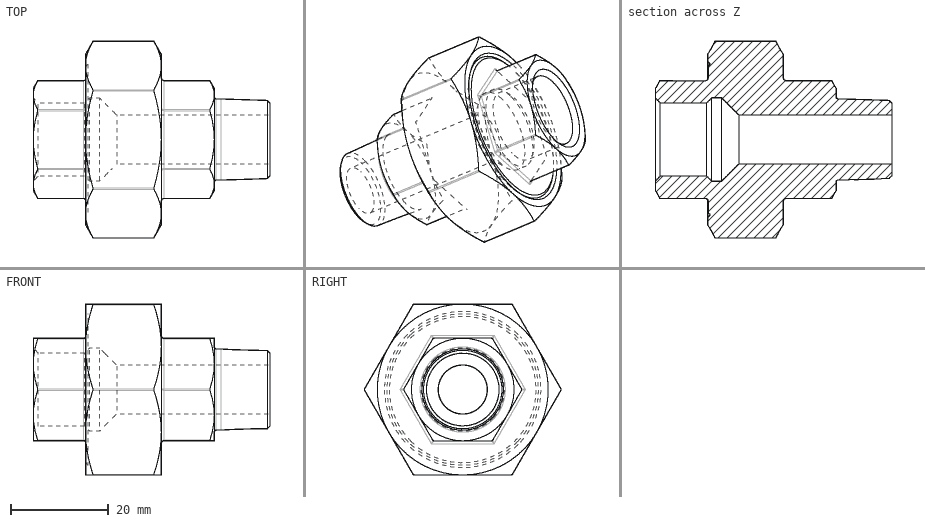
import cadquery as cq
import math


nut_start = 10.7
nut_length = 15.5
nut_end = nut_start + nut_length
nut_middle = (nut_start + nut_end) / 2
male_hex_end = 37.05
total_length = 48.5

nut_flats = 35.0
body_flats = 21.0
hex_edge_radius = 0.3
hex_crown_angle = 30.0
female_root_fillet = 0.5
male_root_fillet = 0.6

groove_outer_diameter = 32.0
groove_bottom_diameter = 31.0
groove_inner_diameter = 30.0
groove_depth = 0.5
groove_bottom = nut_start + groove_depth
flange_recess = 0.1
flange_face = nut_start + flange_recess

collar_diameter = 16.66
collar_end = 38.4
spigot_root_fillet = 0.4
taper_ratio = 1 / 16
spigot_chamfer_length = 0.6
spigot_chamfer_height = 0.6

through_diameter = 10.0
female_diameter = 14.95
female_mouth_diameter = 17.06
female_mouth_depth = 1.0
female_depth = 10.5
relief_diameter = 17.06
relief_length = 2.0


def revolve_about_x(points):
    """Solid of revolution from (x, radius) points."""
    return cq.Workplane("XY").polyline(points).close().revolve(360, (0, 0, 0), (1, 0, 0))


def hex_prism(flats, start, end):
    """Sharp hexagonal bar along X with corners on Y."""
    corner_diameter = flats / math.cos(math.pi / 6)
    return cq.Workplane("YZ", origin=(start, 0, 0)).polygon(6, corner_diameter).extrude(end - start)


def round_long_edges(hex_body, end_selector):
    """Slightly round the six long corners of the hex at one end, "<X" or ">X", of a body."""
    return hex_body.edges("|X").edges(end_selector).fillet(hex_edge_radius)


def crown(flats, face_x, inward):
    """Turned envelope that bevels hex corners at a face; inward is the X direction into the part."""
    face_radius = flats / 2
    outer_radius = flats
    bevel_length = (outer_radius - face_radius) * math.tan(math.radians(hex_crown_angle))
    bevel_end = face_x + inward * bevel_length
    far_end = face_x + inward * (bevel_length + total_length)
    return revolve_about_x([
        (face_x, 0),
        (face_x, face_radius),
        (bevel_end, outer_radius),
        (far_end, outer_radius),
        (far_end, 0),
    ])


def make_nut():
    """Union nut, opened at its female side by a bevelled seat for the body flange."""
    nut = round_long_edges(hex_prism(nut_flats, nut_start, nut_end), "<X")
    nut = nut.intersect(crown(nut_flats, nut_start, 1))
    nut = nut.intersect(crown(nut_flats, nut_end, -1))
    seat = revolve_about_x([
        (nut_start, 0),
        (nut_start, groove_outer_diameter / 2),
        (groove_bottom, groove_bottom_diameter / 2),
        (groove_bottom, 0),
    ])
    return nut.cut(seat)


def fillet_hex_root(body, face_x, radius):
    """Round the inside corner between a small hex and its flange face, mitred at the hex corners."""
    reach = body_flats / math.sqrt(3)
    sliver = 0.01
    low = (face_x - sliver, -reach - sliver, -reach - sliver)
    high = (face_x + sliver, reach + sliver, reach + sliver)
    root_edges = body.edges(cq.selectors.BoxSelector(low, high)).edges("%LINE")
    return root_edges.fillet(radius)


def make_female_end():
    """Female hex growing from a bevelled flange that fills the nut seat."""
    flange = revolve_about_x([
        (flange_face, 0),
        (flange_face, groove_inner_diameter / 2),
        (groove_bottom, groove_bottom_diameter / 2),
        (nut_middle, groove_bottom_diameter / 2),
        (nut_middle, 0),
    ])
    body = flange.union(hex_prism(body_flats, 0, nut_middle))
    body = fillet_hex_root(body, flange_face, female_root_fillet)
    body = round_long_edges(body, "<X")
    return body.intersect(crown(body_flats, 0, 1))


def make_male_end():
    """Male hex growing from a flange flush with the end of the nut."""
    flange = revolve_about_x([
        (nut_middle, 0),
        (nut_middle, groove_inner_diameter / 2),
        (nut_end, groove_inner_diameter / 2),
        (nut_end, 0),
    ])
    body = flange.union(hex_prism(body_flats, nut_middle, male_hex_end))
    body = fillet_hex_root(body, nut_end, male_root_fillet)
    body = round_long_edges(body, ">X")
    return body.intersect(crown(body_flats, male_hex_end, -1))


def make_spigot():
    """Male spigot with a filleted root, a short collar, a taper and a chamfered tip."""
    collar_radius = collar_diameter / 2
    taper_end = total_length - spigot_chamfer_length
    tip_radius = collar_radius - (taper_end - collar_end) * taper_ratio / 2
    root_radius = collar_radius + spigot_root_fillet
    root_end = male_hex_end + spigot_root_fillet
    profile = (
        cq.Workplane("XY")
        .moveTo(nut_end, 0)
        .lineTo(nut_end, root_radius)
        .lineTo(male_hex_end, root_radius)
        .radiusArc((root_end, collar_radius), -spigot_root_fillet)
        .lineTo(collar_end, collar_radius)
        .lineTo(taper_end, tip_radius)
        .lineTo(total_length, tip_radius - spigot_chamfer_height)
        .lineTo(total_length, 0)
        .close()
    )
    return profile.revolve(360, (0, 0, 0), (1, 0, 0))


def make_bore():
    """Through bore, opened from the female end by a chamfered bore, a relief and a 45 degree funnel."""
    through_radius = through_diameter / 2
    female_radius = female_diameter / 2
    relief_radius = relief_diameter / 2
    relief_start = female_depth + relief_radius - female_radius
    relief_end = relief_start + relief_length
    funnel_end = relief_end + relief_radius - through_radius
    return revolve_about_x([
        (0, 0),
        (0, female_mouth_diameter / 2),
        (female_mouth_depth, female_radius),
        (female_depth, female_radius),
        (relief_start, relief_radius),
        (relief_end, relief_radius),
        (funnel_end, through_radius),
        (total_length, through_radius),
        (total_length, 0),
    ])


body = make_nut().union(make_female_end()).union(make_male_end())
body = body.union(make_spigot())
result = body.cut(make_bore())